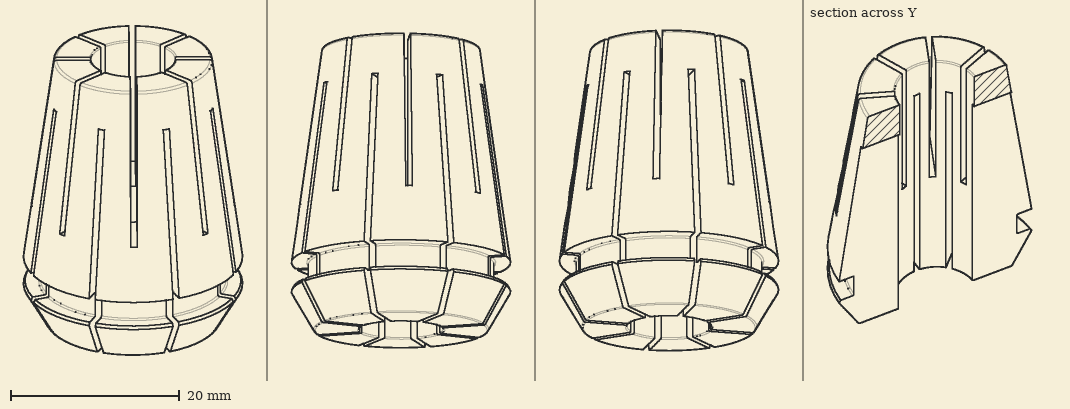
import cadquery as cq
import math

height = 34.0
outer_radius = 25.98 / 2
bore_radius = 10.0 / 2

taper_half_angle = 8.0
taper_bottom = 8.15
taper_top_radius = outer_radius - (height - taper_bottom) * math.tan(math.radians(taper_half_angle))

groove_radius = 22.0 / 2
nose_top = 5.0
nose_half_angle = 30.0
nose_rim_drop = 0.37
nose_rim_inset = 0.2
nose_rim_height = nose_top - nose_rim_drop
nose_bottom_radius = outer_radius - nose_rim_height * math.tan(math.radians(nose_half_angle))

top_round = 0.3
groove_corner_round = 0.2
bottom_round = 0.25
bore_round = 0.17

slots_per_set = 8
slot_width = 0.78
lower_slot_top = 29.05
upper_slot_bottom = 14.95

slot_step = 360.0 / slots_per_set
slot_reach = outer_radius + 0.35


def circle_edges_at(body, radius, z):
    """Circular edges of the given radius, centred on the Z axis, at height z."""
    tolerance = 0.005

    def matches(edge):
        same_height = abs(edge.Center().z - z) < tolerance
        return edge.geomType() == "CIRCLE" and same_height and abs(edge.radius() - radius) < tolerance

    return body.newObject([edge for edge in body.edges().vals() if matches(edge)])


def turned_body():
    """Solid of revolution: taper, groove, nose and bore, with its edges rounded."""
    profile = [
        (bore_radius, 0),
        (nose_bottom_radius, 0),
        (outer_radius, nose_rim_height),
        (outer_radius - nose_rim_inset, nose_top),
        (groove_radius, nose_top),
        (groove_radius, taper_bottom),
        (outer_radius, taper_bottom),
        (taper_top_radius, height),
        (bore_radius, height),
    ]
    body = cq.Workplane("XZ").polyline(profile).close().revolve(360, (0, 0, 0), (0, 1, 0))

    rounded_edges = [
        (taper_top_radius, height, top_round),
        (groove_radius, taper_bottom, groove_corner_round),
        (groove_radius, nose_top, groove_corner_round),
        (nose_bottom_radius, 0, bottom_round),
        (bore_radius, height, bore_round),
        (bore_radius, 0, bore_round),
    ]
    for radius, z, fillet_radius in rounded_edges:
        body = circle_edges_at(body, radius, z).fillet(fillet_radius)
    return body


def cut_slots(body, z_low, z_high, first_angle):
    """Cut one set of radial slots from the bore through the outer wall."""
    slot = cq.Workplane("XY").box(slot_reach, slot_width, z_high - z_low, centered=(False, True, False))
    slot = slot.translate((0, 0, z_low))
    for index in range(slots_per_set):
        body = body.cut(slot.rotate((0, 0, 0), (0, 0, 1), first_angle + index * slot_step))
    return body


result = turned_body()
result = cut_slots(result, 0, lower_slot_top, 0)
result = cut_slots(result, upper_slot_bottom, height, slot_step / 2)